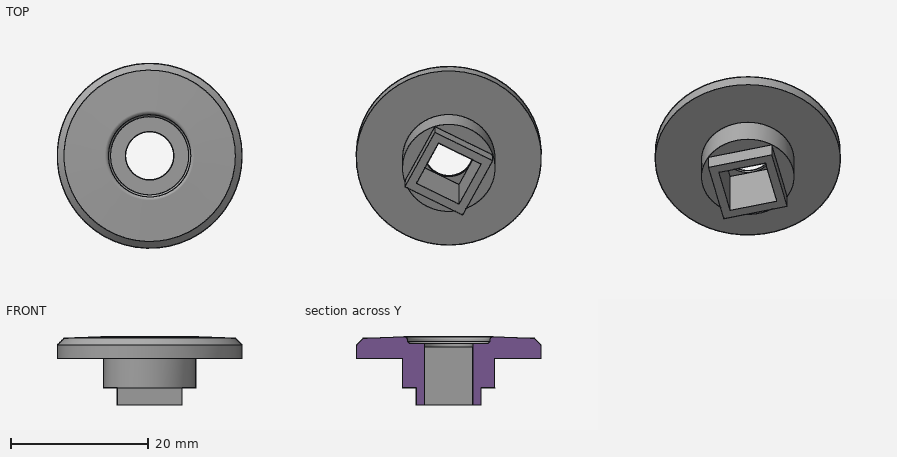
import cadquery as cq

flange_diameter = 27.0
edge_chamfer = 1.0
flange_bottom_z = 6.75
flange_rim_z = 9.75
top_z = 9.98

boss_diameter = 13.5
tenon_side = 9.5
tenon_height = 2.5

recess_diameter = 12.0
recess_rim_radius = 0.5
recess_corner_chamfer = 0.3
recess_depth = 1.0

bore_diameter = 7.0
web_thickness = 0.5
socket_side = bore_diameter

recess_floor_z = top_z - recess_depth
socket_top_z = recess_floor_z - web_thickness


def make_turned_body():
    """Boss, flange and recess turned about the Z axis as one solid of revolution."""
    flange_radius = flange_diameter / 2
    boss_radius = boss_diameter / 2
    recess_radius = recess_diameter / 2
    floor_radius = recess_radius - recess_corner_chamfer
    rim_radius = recess_radius + recess_rim_radius
    half_root = 0.5**0.5

    rim_arc_middle = (
        rim_radius - recess_rim_radius * half_root,
        top_z - recess_rim_radius + recess_rim_radius * half_root,
    )

    profile = (
        cq.Workplane("XZ")
        .moveTo(0, tenon_height)
        .lineTo(boss_radius, tenon_height)
        .lineTo(boss_radius, flange_bottom_z)
        .lineTo(flange_radius, flange_bottom_z)
        .lineTo(flange_radius, flange_rim_z - edge_chamfer)
        .lineTo(flange_radius - edge_chamfer, flange_rim_z)
        .lineTo(rim_radius, top_z)
        .threePointArc(rim_arc_middle, (recess_radius, top_z - recess_rim_radius))
        .lineTo(recess_radius, recess_floor_z + recess_corner_chamfer)
        .lineTo(floor_radius, recess_floor_z)
        .lineTo(0, recess_floor_z)
        .close()
    )
    return profile.revolve(360, (0, 0, 0), (0, 1, 0))


def make_tenon():
    """Square tenon standing below the boss, with its underside at Z = 0."""
    return cq.Workplane("XY").rect(tenon_side, tenon_side).extrude(tenon_height)


def make_socket():
    """Square socket rising from the underside to the web below the recess."""
    return cq.Workplane("XY").rect(socket_side, socket_side).extrude(socket_top_z)


def make_bore():
    """Round bore through the web."""
    return cq.Workplane("XY").circle(bore_diameter / 2).extrude(top_z)


result = make_turned_body().union(make_tenon()).cut(make_socket()).cut(make_bore())